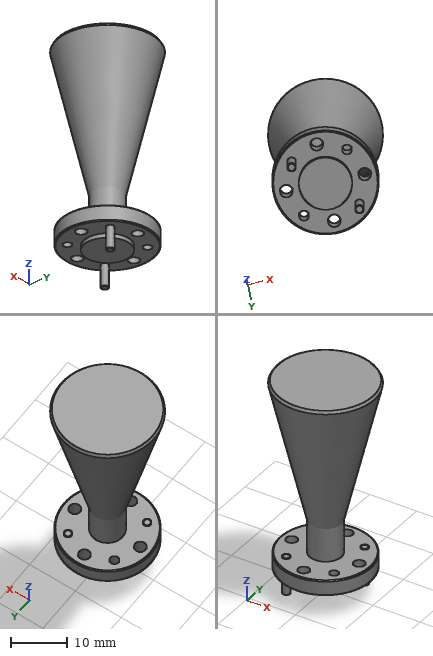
import cadquery as cq
import math

total_height = 44.5
boss_bottom = 3.8
flange_bottom = 4.67
flange_top = 7.92
cone_bottom = 14.9
rim_height = 0.6

boss_radius = 4.75
flange_radius = 9.53
neck_radius = 3.35
mouth_radius = 10.3
top_face_radius = 9.93
flange_chamfer = 0.22

pattern_radius = 7.15
screw_hole_diameter = 2.25
guide_hole_diameter = 1.8
pin_diameter = 1.55
pin_chamfer = 0.15

PIN_ANGLES = (45, 225)
GUIDE_HOLE_ANGLES = (135, 315)
SCREW_HOLE_ANGLES = (0, 90, 180, 270)


def pattern_point(angle):
    """Point on the flange hole circle, with the angle in degrees from +X."""
    turn = math.radians(angle)
    return (pattern_radius * math.cos(turn), pattern_radius * math.sin(turn))


def flange_holes(diameter, angles):
    """Cutters that pass through the flange at the given angles."""
    return (
        cq.Workplane("XY", origin=(0, 0, flange_bottom))
        .pushPoints([pattern_point(angle) for angle in angles])
        .circle(diameter / 2)
        .extrude(flange_top - flange_bottom)
    )


def make_horn():
    """Boss, flange, neck and solid cone in one piece, with the flange holes."""
    profile = [
        (0, boss_bottom),
        (boss_radius, boss_bottom),
        (boss_radius, flange_bottom),
        (flange_radius - flange_chamfer, flange_bottom),
        (flange_radius, flange_bottom + flange_chamfer),
        (flange_radius, flange_top - flange_chamfer),
        (flange_radius - flange_chamfer, flange_top),
        (neck_radius, flange_top),
        (neck_radius, cone_bottom),
        (mouth_radius, total_height - rim_height),
        (top_face_radius, total_height),
        (0, total_height),
    ]
    body = cq.Workplane("XZ").polyline(profile).close().revolve(360, (0, 0, 0), (0, 1, 0))
    body = body.cut(flange_holes(screw_hole_diameter, SCREW_HOLE_ANGLES))
    body = body.cut(flange_holes(guide_hole_diameter, GUIDE_HOLE_ANGLES))
    return body.cut(flange_holes(pin_diameter, PIN_ANGLES))


def make_pin(angle):
    """Alignment pin, flush with the flange top and chamfered at both ends."""
    return (
        cq.Workplane("XY")
        .center(*pattern_point(angle))
        .circle(pin_diameter / 2)
        .extrude(flange_top)
        .faces("<Z or >Z")
        .chamfer(pin_chamfer)
    )


horn = make_horn()
pins = [make_pin(angle) for angle in PIN_ANGLES]

result = cq.Compound.makeCompound([horn.val(), *[pin.val() for pin in pins]])